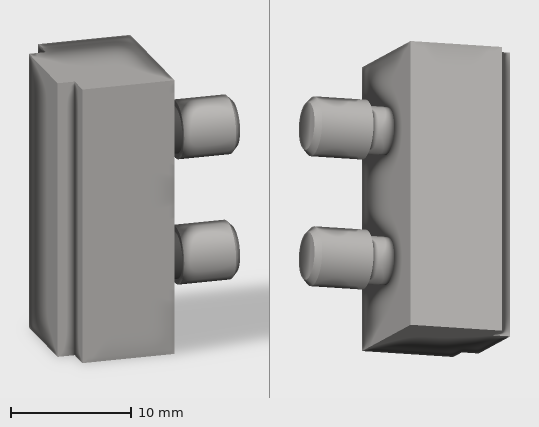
import cadquery as cq

block_width = 12.3
block_depth = 8.02
block_height = 24.0
tongue_width = 8.0
tongue_depth = 1.5

pin_spacing = 11.0
neck_diameter = 4.0
neck_length = 2.0
head_diameter = 5.0
head_length = 5.02
head_chamfer = 0.5

block_front_y = tongue_depth
block_back_y = block_front_y + block_depth


def make_block():
    """T-section block extruded over the full height."""
    body = cq.Workplane("XY").box(
        block_width, block_depth, block_height, centered=(True, False, True)
    ).translate((0, block_front_y, 0))
    tongue = cq.Workplane("XY").box(
        tongue_width, tongue_depth, block_height, centered=(True, False, True)
    )
    return body.union(tongue)


def make_pin(center_z):
    """Pin with a narrow neck against the block and a chamfered head, pointing along +Y."""
    neck_radius = neck_diameter / 2
    head_radius = head_diameter / 2
    head_start_y = block_back_y + neck_length
    head_end_y = head_start_y + head_length
    half_profile = (
        cq.Workplane("XY")
        .moveTo(0, block_back_y)
        .lineTo(neck_radius, block_back_y)
        .lineTo(neck_radius, head_start_y)
        .lineTo(head_radius, head_start_y)
        .lineTo(head_radius, head_end_y - head_chamfer)
        .lineTo(head_radius - head_chamfer, head_end_y)
        .lineTo(0, head_end_y)
        .close()
    )
    pin = half_profile.revolve(360, (0, 0, 0), (0, 1, 0))
    return pin.translate((0, 0, center_z))


block = make_block()
pins = [make_pin(side * pin_spacing / 2) for side in (-1, 1)]

result = cq.Compound.makeCompound([block.val(), *[pin.val() for pin in pins]])